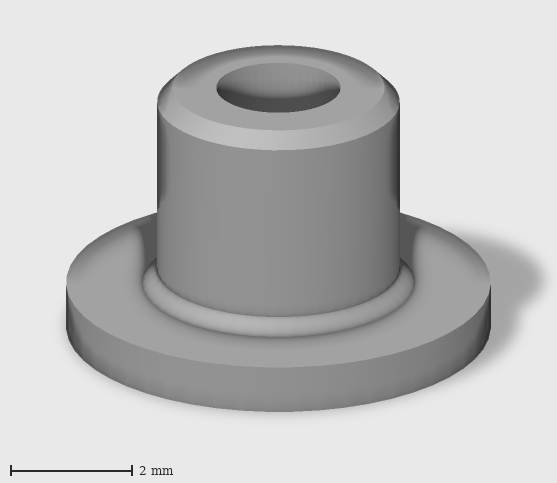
import cadquery as cq

flange_diameter = 7.0
flange_thickness = 0.8
barrel_diameter = 4.0
overall_height = 4.3
bore_diameter = 2.05
chamfer_size = 0.25

flange_radius = flange_diameter / 2
barrel_radius = barrel_diameter / 2
bore_radius = bore_diameter / 2


def make_bush():
    """Revolve the half section of the flanged bush about the Z axis."""
    half_section = (
        cq.Workplane("XZ")
        .moveTo(bore_radius, 0)
        .lineTo(flange_radius, 0)
        .lineTo(flange_radius, flange_thickness)
        .lineTo(barrel_radius + chamfer_size, flange_thickness)
        .lineTo(barrel_radius, flange_thickness + chamfer_size)
        .lineTo(barrel_radius, overall_height - chamfer_size)
        .lineTo(barrel_radius - chamfer_size, overall_height)
        .lineTo(bore_radius, overall_height)
        .close()
    )
    return half_section.revolve(360, (0, 0, 0), (0, 1, 0))


result = make_bush()